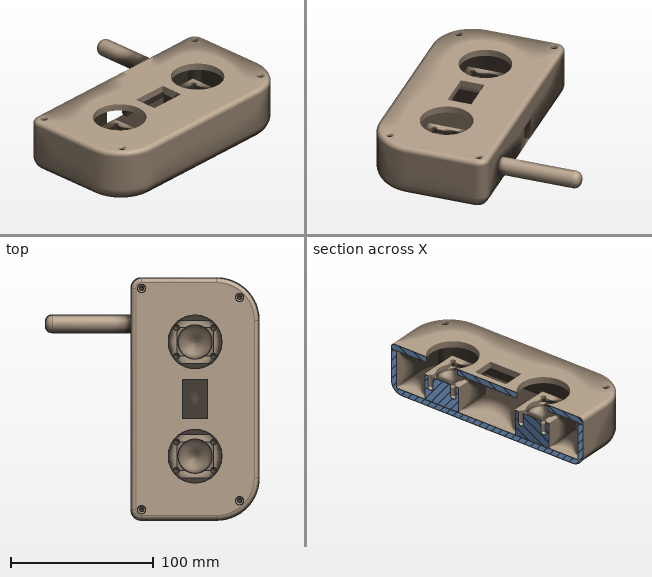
import cadquery as cq
import math

CASE_X = 90.0
CASE_Y = 170.0
CASE_Z = 40.0
WALL = 5.0
LID_THICKNESS = 5.0
SMALL_CORNER_RADIUS = 7.5
LARGE_CORNER_RADIUS = 30.0
BOTTOM_FILLET = 9.9
LID_FILLET = 3.4

SCREW_DIAMETER = 2.9
SCREW_HEAD_DIAMETER = 5.8
SCREW_SINK_DEPTH = 1.5
SCREW_DEPTH = 13.6
BOSS_DIAMETER = 10.0
LARGE_CORNER_SCREW_INSET = 13.8

ROUND_WINDOW_DIAMETER = 37.5
MODULE_PITCH = 80.0
MIDDLE_WINDOW_X = 17.7
MIDDLE_WINDOW_Y = 27.4

MODULE_X = 37.0
MODULE_Y = 30.3
MODULE_TOP = 25.2
RECESS_X = 25.7
RECESS_Y = 19.9
PEG_SPACING_X = 26.0
PEG_SPACING_Y = 20.0
RECESS_DEPTH = 3.0
BORE_DIAMETER = 24.0
BORE_DEPTH = 5.0
PEG_HOLE_DIAMETER = 4.0
PEG_HOLE_DEPTH = 10.0
DRILL_POINT_ANGLE = 118.0

OPENING_Y = 70.4
OPENING_TOP = 22.6
SLOT_Y = 20.4

ANTENNA_DIAMETER = 12.5
ANTENNA_REACH = 60.0
ANTENNA_Y = 52.7
ANTENNA_TIP_FILLET = 5.0

CASE_MID_X = CASE_X / 2
HALF_Y = CASE_Y / 2
RIM_Z = CASE_Z - LID_THICKNESS
MODULE_YS = (-MODULE_PITCH / 2, MODULE_PITCH / 2)
SCREW_POINTS = [
    (x, side * y)
    for side in (-1, 1)
    for x, y in (
        (SMALL_CORNER_RADIUS, HALF_Y - SMALL_CORNER_RADIUS),
        (CASE_X - LARGE_CORNER_SCREW_INSET, HALF_Y - LARGE_CORNER_SCREW_INSET),
    )
]


def rounded_slab(inset, bottom, top):
    """Case outline, moved inwards by inset, between two heights."""
    return (
        cq.Workplane("XY", origin=(CASE_MID_X, 0, bottom))
        .rect(CASE_X - 2 * inset, CASE_Y - 2 * inset)
        .extrude(top - bottom)
        .edges("|Z and <X")
        .fillet(SMALL_CORNER_RADIUS - inset)
        .edges("|Z and >X")
        .fillet(LARGE_CORNER_RADIUS - inset)
    )


def box(x_range, y_range, z_range):
    """Axis-parallel box given by its limits."""
    size = [high - low for low, high in (x_range, y_range, z_range)]
    corner = (x_range[0], y_range[0], z_range[0])
    return cq.Workplane("XY").box(*size, centered=False).translate(corner)


def drilled_hole(x, y, top, diameter, depth):
    """Cutter for a blind hole of the given straight depth with a drill-point end."""
    radius = diameter / 2
    point = radius / math.tan(math.radians(DRILL_POINT_ANGLE / 2))
    return (
        cq.Workplane("XZ")
        .polyline([(0, 0), (radius, 0), (radius, -depth), (0, -depth - point)])
        .close()
        .revolve()
        .translate((x, y, top))
    )


def antenna_rod():
    """Rod from the rounded tip to the inner face of the wall."""
    return (
        cq.Workplane("YZ", origin=(-ANTENNA_REACH, ANTENNA_Y, CASE_Z / 2))
        .circle(ANTENNA_DIAMETER / 2)
        .extrude(ANTENNA_REACH + WALL)
        .faces("<X")
        .edges()
        .fillet(ANTENNA_TIP_FILLET)
    )


def outer_shell():
    """Solid outside shape of the housing, up to the rim that carries the lid."""
    return rounded_slab(0, 0, RIM_Z).faces("<Z").edges().fillet(BOTTOM_FILLET)


def make_housing(shell, antenna):
    """Open-topped shell with corner screw bosses, a side opening and the antenna hole."""
    cavity = rounded_slab(WALL, WALL, RIM_Z)
    bosses = (
        cq.Workplane("XY", origin=(0, 0, WALL))
        .pushPoints(SCREW_POINTS)
        .circle(BOSS_DIAMETER / 2)
        .extrude(RIM_Z - WALL)
    )
    opening = box((0, WALL), (-OPENING_Y / 2, OPENING_Y / 2), (WALL, OPENING_TOP))
    housing = shell.cut(cavity.cut(bosses)).cut(opening).cut(antenna)
    for x, y in SCREW_POINTS:
        housing = housing.cut(drilled_hole(x, y, RIM_Z, SCREW_DIAMETER, SCREW_DEPTH))
    return housing


def make_filler_block(shell, side):
    """Block in one end of the side opening, flush with the outside of the housing."""
    y_range = sorted((side * SLOT_Y / 2, side * OPENING_Y / 2))
    return shell.intersect(box((0, WALL), y_range, (WALL, OPENING_TOP)))


def make_lid():
    """Cover with two round windows, a rectangular one and four countersunk screw holes."""
    lid = rounded_slab(0, RIM_Z, CASE_Z).faces(">Z").edges().fillet(LID_FILLET)
    round_windows = (
        cq.Workplane("XY", origin=(CASE_MID_X, 0, RIM_Z))
        .pushPoints([(0, y) for y in MODULE_YS])
        .circle(ROUND_WINDOW_DIAMETER / 2)
        .extrude(LID_THICKNESS)
    )
    middle_window = (
        cq.Workplane("XY", origin=(CASE_MID_X, 0, RIM_Z))
        .rect(MIDDLE_WINDOW_X, MIDDLE_WINDOW_Y)
        .extrude(LID_THICKNESS)
    )
    lid = lid.cut(round_windows).cut(middle_window)
    head = SCREW_HEAD_DIAMETER / 2
    shank = SCREW_DIAMETER / 2
    screw = (
        cq.Workplane("XZ")
        .polyline([
            (0, 0), (head, 0), (shank, -SCREW_SINK_DEPTH),
            (shank, -LID_THICKNESS), (0, -LID_THICKNESS),
        ])
        .close()
        .revolve()
    )
    for x, y in SCREW_POINTS:
        lid = lid.cut(screw.translate((x, y, CASE_Z)))
    return lid


def make_module(y):
    """Block on the housing floor with a recess, a central bore and four peg holes."""
    module = box(
        (CASE_MID_X - MODULE_X / 2, CASE_MID_X + MODULE_X / 2),
        (y - MODULE_Y / 2, y + MODULE_Y / 2),
        (WALL, MODULE_TOP),
    )
    recess = box(
        (CASE_MID_X - RECESS_X / 2, CASE_MID_X + RECESS_X / 2),
        (y - RECESS_Y / 2, y + RECESS_Y / 2),
        (MODULE_TOP - RECESS_DEPTH, MODULE_TOP),
    )
    bore = drilled_hole(CASE_MID_X, y, MODULE_TOP, BORE_DIAMETER, BORE_DEPTH)
    module = module.cut(recess).cut(bore)
    for x_side in (-1, 1):
        for y_side in (-1, 1):
            peg_x = CASE_MID_X + x_side * PEG_SPACING_X / 2
            peg_y = y + y_side * PEG_SPACING_Y / 2
            peg_hole = drilled_hole(peg_x, peg_y, MODULE_TOP, PEG_HOLE_DIAMETER, PEG_HOLE_DEPTH)
            module = module.cut(peg_hole)
    return module


shell = outer_shell()
antenna = antenna_rod()
housing = make_housing(shell, antenna)
lid = make_lid()
filler_blocks = [make_filler_block(shell, side) for side in (-1, 1)]
modules = [make_module(y) for y in MODULE_YS]

result = cq.Compound.makeCompound([
    housing.val(),
    lid.val(),
    antenna.val(),
    *[block.val() for block in filler_blocks],
    *[module.val() for module in modules],
])